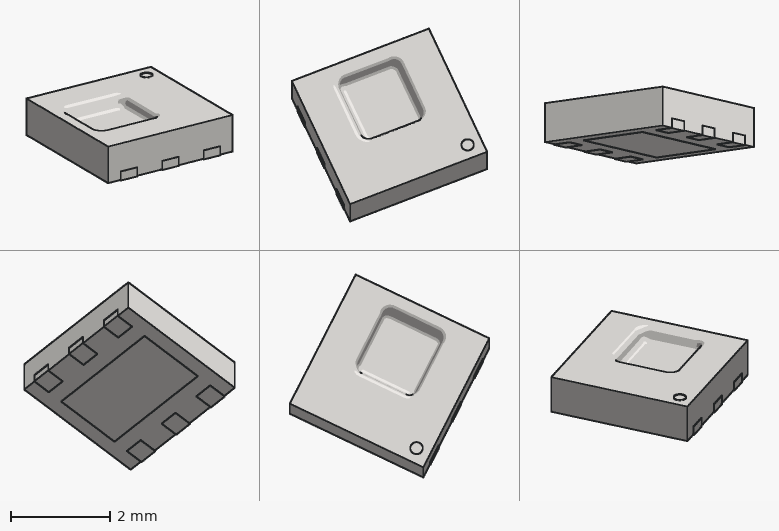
import cadquery as cq
import math

overall_length = 3.02
body_size = 3.0
overall_height = 0.81
pad_thickness = 0.01
body_height = overall_height - pad_thickness

terminal_width = 0.4
terminal_height = 0.2
terminal_pitch = 1.0
terminal_reach = 0.41

center_pad_length = 1.5
center_pad_width = 2 * terminal_pitch + terminal_width

mark_diameter = 0.25
mark_offset = 1.2
mark_depth = 0.02

floor_length = 1.0
floor_width = 1.1
pocket_center_y = -0.45
pocket_depth = 0.3
wall_draft = 15.0
edge_radius = 0.15


def make_body():
    return (
        cq.Workplane("XY")
        .workplane(offset=pad_thickness)
        .rect(body_size, body_size)
        .extrude(body_height)
    )


def make_terminals():
    center_x = (overall_length - terminal_reach) / 2
    centers = [(side * center_x, row * terminal_pitch) for side in (-1, 1) for row in (-1, 0, 1)]
    return (
        cq.Workplane("XY")
        .pushPoints(centers)
        .rect(terminal_reach, terminal_width)
        .extrude(terminal_height)
    )


def make_center_pad():
    return cq.Workplane("XY").rect(center_pad_length, center_pad_width).extrude(pad_thickness)


def make_mark():
    return (
        cq.Workplane("XY")
        .workplane(offset=overall_height - mark_depth)
        .center(-mark_offset, mark_offset)
        .circle(mark_diameter / 2)
        .extrude(mark_depth)
    )


def pocket_profile():
    """Half section of the pocket edge: U runs outward from the floor edge, V runs up from the floor."""
    draft = math.radians(wall_draft)
    arc_run = edge_radius * math.cos(draft)
    arc_rise = edge_radius * (1 - math.sin(draft))
    wall_rise = pocket_depth - 2 * arc_rise
    rim_run = 2 * arc_run + wall_rise * math.tan(draft)
    half_angle = (math.pi / 2 - draft) / 2
    mid_run = edge_radius * math.sin(half_angle)
    mid_rise = edge_radius * (1 - math.cos(half_angle))
    return (
        cq.Workplane("XZ")
        .threePointArc((mid_run, mid_rise), (arc_run, arc_rise))
        .lineTo(rim_run - arc_run, pocket_depth - arc_rise)
        .threePointArc((rim_run - mid_run, pocket_depth - mid_rise), (rim_run, pocket_depth))
        .lineTo(0, pocket_depth)
        .close()
    )


def make_pocket():
    pocket = cq.Workplane("XY").rect(floor_length, floor_width).extrude(pocket_depth)
    for quarter in range(4):
        if quarter % 2 == 0:
            reach, side_length = floor_length / 2, floor_width
        else:
            reach, side_length = floor_width / 2, floor_length
        side = pocket_profile().extrude(side_length).translate((reach, side_length / 2, 0))
        corner = pocket_profile().revolve(90, (0, 0, 0), (0, 1, 0))
        corner = corner.translate((reach, side_length / 2, 0))
        edge = side.union(corner).rotate((0, 0, 0), (0, 0, 1), 90 * quarter)
        pocket = pocket.union(edge)
    return pocket.translate((0, pocket_center_y, overall_height - pocket_depth))


result = (
    make_body()
    .union(make_terminals())
    .union(make_center_pad())
    .cut(make_mark())
    .cut(make_pocket())
)